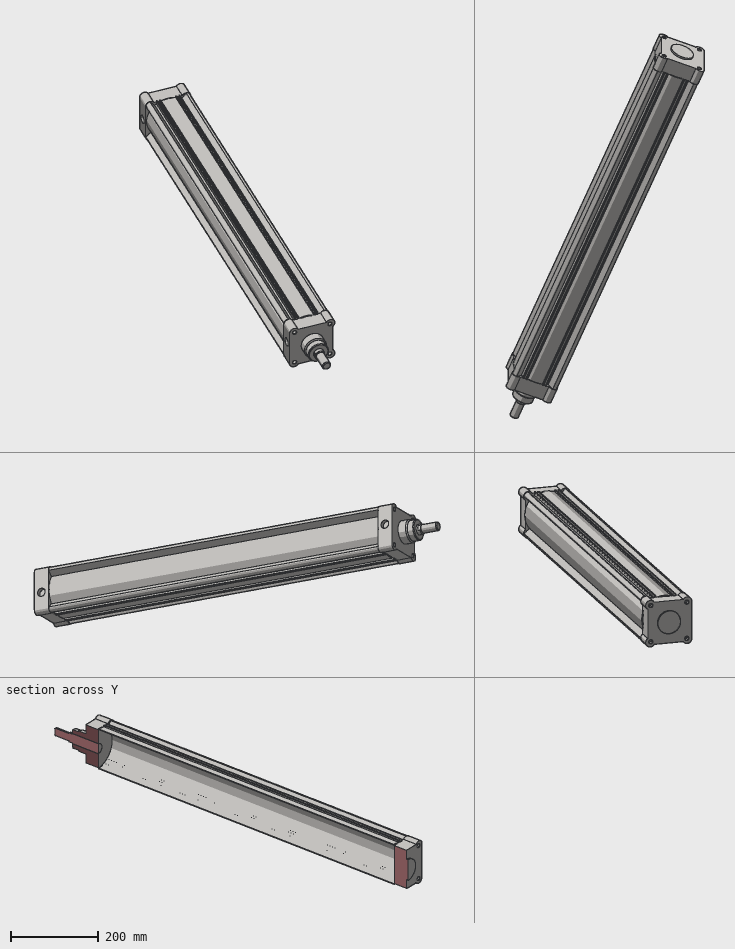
import cadquery as cq
import math

TOTAL_LENGTH = 1033.0
CAP_SIZE = 112.0
CAP_LENGTH = 37.0
BARREL_LENGTH = 864.0
HALF = CAP_SIZE / 2

EAR_RADIUS = 11.0
RECESS_DEPTH = 5.0
BOLT_HOLE_DIAMETER = 8.0
BOLT_HOLE_MOUTH = 10.0
BOLT_SPACING = 87.0
BOLT_HOLE_DEPTH = 10.0
PORT_DIAMETER = 20.0
PORT_DEPTH = 10.0
PORT_OFFSET = 6.0
REAR_BOSS_LENGTH = 4.0
COLLAR_DIAMETER = 55.0
COLLAR_LENGTH = 23.0
COLLAR_CHAMFER = 3.0
NOSE_DIAMETER = 50.0
NOSE_LENGTH = 17.0
NOSE_CHAMFER = 2.0

BARREL_HALF = 55.0
BULGE_DIAMETER = 106.0
BULGE_HALF_WIDTH = 33.0
RAIL_RADIUS = 10.0
BORE_DIAMETER = 100.0
RIDGE_INNER = 19.0
RIDGE_OUTER = 29.0
RIDGE_HEIGHT = 54.0
SLOT_INNER = 22.0
SLOT_WIDTH = 5.0
SLOT_DEPTH = 5.0

ROD_DIAMETER = 25.0
THREAD_DIAMETER = 21.0
THREAD_LENGTH = 40.0
THREAD_CHAMFER = 2.0
SHOULDER_CHAMFER = 2.0
FLAT_WIDTH = 22.0
FLAT_LENGTH = 7.0

REAR_CAP_START = REAR_BOSS_LENGTH
BARREL_START = REAR_CAP_START + CAP_LENGTH
FRONT_CAP_START = BARREL_START + BARREL_LENGTH
FRONT_CAP_END = FRONT_CAP_START + CAP_LENGTH
NOSE_START = FRONT_CAP_END + COLLAR_LENGTH
NOSE_END = NOSE_START + NOSE_LENGTH
THREAD_START = TOTAL_LENGTH - THREAD_LENGTH
BULGE_RADIUS = BULGE_DIAMETER / 2
EAR_CENTRE = HALF - EAR_RADIUS


def plane_at(x):
    """Section plane facing +X, with local axes along Y and Z."""
    return cq.Workplane("YZ", origin=(x, 0, 0))


def cylinder(start, end, diameter):
    """Round bar on the axis between two places along X."""
    return plane_at(start).circle(diameter / 2).extrude(end - start)


def corner_points(offset):
    """Four points on the section plane, one towards each corner."""
    return [(y, z) for y in (-offset, offset) for z in (-offset, offset)]


def cap_block(start):
    """Block with a round bump at each corner, recessed between them on all sides but -Y."""
    inner = HALF - RECESS_DEPTH
    core = plane_at(start).rect(2 * inner, 2 * inner).extrude(CAP_LENGTH)
    ears = plane_at(start).pushPoints(corner_points(EAR_CENTRE)).circle(EAR_RADIUS).extrude(CAP_LENGTH)
    port_pad = plane_at(start).center(-HALF + EAR_RADIUS / 2, 0).rect(EAR_RADIUS, 2 * EAR_CENTRE)
    return core.union(ears).union(port_pad.extrude(CAP_LENGTH))


def port(start, height):
    """Blind port drilled into the -Y face at mid length of a cap."""
    face = cq.Workplane("XZ", origin=(start + CAP_LENGTH / 2, -HALF, height))
    return face.circle(PORT_DIAMETER / 2).extrude(-PORT_DEPTH)


def bolt_holes(face_x, inward):
    """Blind corner holes with chamfered mouths, bored from an outer cap face along inward (+1 or -1)."""
    face = plane_at(face_x).pushPoints(corner_points(BOLT_SPACING / 2))
    chamfer = (BOLT_HOLE_MOUTH - BOLT_HOLE_DIAMETER) / 2
    bores = face.circle(BOLT_HOLE_DIAMETER / 2).extrude(inward * BOLT_HOLE_DEPTH)
    mouths = face.circle(BOLT_HOLE_MOUTH / 2).extrude(inward * chamfer, taper=45)
    return bores.union(mouths)


def make_rear_cap():
    """Cap with a short centring boss on its outer face."""
    cap = cap_block(REAR_CAP_START)
    cap = cap.union(cylinder(0, REAR_CAP_START, COLLAR_DIAMETER))
    cap = cap.cut(port(REAR_CAP_START, -PORT_OFFSET))
    return cap.cut(bolt_holes(REAR_CAP_START, 1))


def make_front_cap():
    """Cap with a stepped collar that guides the rod."""
    cap = cap_block(FRONT_CAP_START)
    collar = cylinder(FRONT_CAP_END, NOSE_START, COLLAR_DIAMETER).faces(">X").chamfer(COLLAR_CHAMFER)
    nose = cylinder(NOSE_START, NOSE_END, NOSE_DIAMETER).faces(">X").chamfer(NOSE_CHAMFER)
    cap = cap.union(collar).union(nose)
    cap = cap.cut(port(FRONT_CAP_START, PORT_OFFSET))
    cap = cap.cut(bolt_holes(FRONT_CAP_END, -1))
    return cap.cut(cylinder(FRONT_CAP_START, NOSE_END, ROD_DIAMETER))


def bulge_height(offset):
    """Distance of the bulge surface from the mid plane, at a sideways offset."""
    return math.sqrt(BULGE_RADIUS**2 - offset**2)


def groove_cutter(side):
    """Space between the corner rails on one side of the barrel; side counts quarter turns from +Z."""
    edge = bulge_height(BULGE_HALF_WIDTH)
    rail = BARREL_HALF - RAIL_RADIUS
    return (
        plane_at(BARREL_START)
        .moveTo(-rail, BARREL_HALF)
        .lineTo(-BULGE_HALF_WIDTH, edge)
        .threePointArc((0, BULGE_RADIUS), (BULGE_HALF_WIDTH, edge))
        .lineTo(rail, BARREL_HALF)
        .close()
        .extrude(BARREL_LENGTH)
        .rotate((0, 0, 0), (1, 0, 0), 90 * side)
    )


def sensor_ridge(hand, up):
    """Slotted ridge running the full barrel length beside the bulge."""
    root = RIDGE_HEIGHT - 2 * SLOT_DEPTH
    profile = [
        (RIDGE_INNER, root),
        (RIDGE_INNER, RIDGE_HEIGHT),
        (RIDGE_OUTER, RIDGE_HEIGHT),
        (RIDGE_OUTER, root),
    ]
    points = [(hand * y, up * z) for y, z in profile]
    return plane_at(BARREL_START).polyline(points).close().extrude(BARREL_LENGTH)


def sensor_slot(hand, up):
    """Narrow slot open at the top of a ridge."""
    centre = (hand * (SLOT_INNER + SLOT_WIDTH / 2), up * RIDGE_HEIGHT)
    return plane_at(BARREL_START).center(*centre).rect(SLOT_WIDTH, 2 * SLOT_DEPTH).extrude(BARREL_LENGTH)


def make_barrel():
    """Hollow profile: four corner rails, a round bulge on each side and slotted ridges top and bottom."""
    barrel = plane_at(BARREL_START).rect(2 * BARREL_HALF, 2 * BARREL_HALF).extrude(BARREL_LENGTH)
    barrel = barrel.edges("|X").fillet(RAIL_RADIUS)
    for side in range(4):
        barrel = barrel.cut(groove_cutter(side))
    for hand in (-1, 1):
        for up in (-1, 1):
            barrel = barrel.union(sensor_ridge(hand, up)).cut(sensor_slot(hand, up))
    return barrel.cut(cylinder(BARREL_START, FRONT_CAP_START, BORE_DIAMETER))


def make_rod():
    """Piston rod with a reduced threaded end and two wrench flats just behind it."""
    rod = cylinder(FRONT_CAP_START, THREAD_START, ROD_DIAMETER).faces(">X").chamfer(SHOULDER_CHAMFER)
    thread = cylinder(THREAD_START, TOTAL_LENGTH, THREAD_DIAMETER).faces(">X").chamfer(THREAD_CHAMFER)
    rod = rod.union(thread)
    for hand in (-1, 1):
        centre = (THREAD_START - FLAT_LENGTH / 2, hand * (FLAT_WIDTH + ROD_DIAMETER) / 2, 0)
        rod = rod.cut(cq.Workplane(origin=centre).box(FLAT_LENGTH, ROD_DIAMETER, ROD_DIAMETER))
    return rod


rear_cap = make_rear_cap()
barrel = make_barrel()
front_cap = make_front_cap()
rod = make_rod()

result = cq.Compound.makeCompound([rear_cap.val(), barrel.val(), front_cap.val(), rod.val()])